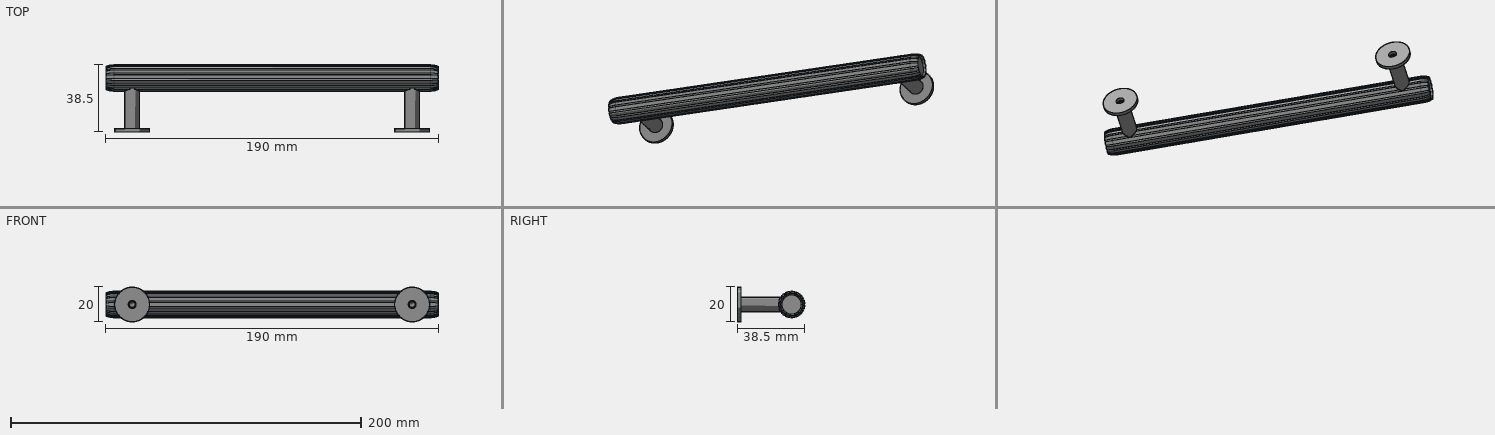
import cadquery as cq
import math

bar_length = 190.0
overall_depth = 38.5
post_spacing = 160.0

bar_diameter = 15.2
end_diameter = 13.1
crown_length = 4.5
dish_mouth_diameter = 12.7
dish_floor_diameter = 11.0
dish_depth = 1.3
flute_count = 15
flute_radius = 0.5
flute_run_out = 1.3

post_diameter = 8.5
seat_depth = 3.0
screw_hole_diameter = 3.2
screw_hole_mouth_diameter = 4.0
screw_hole_depth = 11.4
drill_point_angle = 118.0

rosette_diameter = 20.0
rosette_thickness = 2.0
rosette_hole_diameter = 4.5

half_length = bar_length / 2
bar_radius = bar_diameter / 2
end_radius = end_diameter / 2
shoulder = half_length - crown_length
dish_floor = half_length - dish_depth
crown_drop = bar_radius - end_radius
crown_radius = (crown_length**2 + crown_drop**2) / (2 * crown_drop)
crown_angle = math.asin(crown_length / crown_radius)
flute_pitch = 360.0 / flute_count
land_angle = 90.0
flute_half_angle = 2 * math.asin(flute_radius / bar_diameter)
bar_back = bar_radius * math.cos(flute_half_angle)
rosette_front = bar_back - overall_depth
post_start = rosette_front + rosette_thickness
post_end = seat_depth - bar_radius
post_length = post_end - post_start
post_places = (-post_spacing / 2, post_spacing / 2)


def along_y(x, y):
    """Workplane at (x, y, 0) whose normal points towards +Y."""
    return cq.Workplane(cq.Plane(origin=(x, y, 0), xDir=(1, 0, 0), normal=(0, 1, 0)))


def crown_point(angle):
    """Distance from mid-length and radius on the crowned end, at an arc angle from its shoulder."""
    return (
        shoulder + crown_radius * math.sin(angle),
        bar_radius - crown_radius * (1 - math.cos(angle)),
    )


def make_rod():
    """Plain rod along X with crowned ends, each hollowed by a shallow dish with a sloping wall."""
    middle_x, middle_r = crown_point(crown_angle / 2)
    return (
        cq.Workplane("XY")
        .moveTo(-dish_floor, 0)
        .lineTo(-dish_floor, dish_floor_diameter / 2)
        .lineTo(-half_length, dish_mouth_diameter / 2)
        .lineTo(-half_length, end_radius)
        .threePointArc((-middle_x, middle_r), (-shoulder, bar_radius))
        .lineTo(shoulder, bar_radius)
        .threePointArc((middle_x, middle_r), (half_length, end_radius))
        .lineTo(half_length, dish_mouth_diameter / 2)
        .lineTo(dish_floor, dish_floor_diameter / 2)
        .lineTo(dish_floor, 0)
        .close()
        .revolve(360, (0, 0, 0), (1, 0, 0))
    )


def flute_cutter():
    """Round cutter that follows the rod's top line and both crowns, running out past the ends."""
    run_out_angle = crown_angle * flute_run_out
    middle_x, middle_r = crown_point(run_out_angle / 2)
    tip_x, tip_r = crown_point(run_out_angle)
    path = (
        cq.Workplane("XZ")
        .moveTo(-tip_x, tip_r)
        .threePointArc((-middle_x, middle_r), (-shoulder, bar_radius))
        .lineTo(shoulder, bar_radius)
        .threePointArc((middle_x, middle_r), (tip_x, tip_r))
    )
    start_direction = (math.cos(run_out_angle), 0, math.sin(run_out_angle))
    start = cq.Plane(origin=(-tip_x, 0, tip_r), xDir=(0, 1, 0), normal=start_direction)
    return cq.Workplane(start).circle(flute_radius).sweep(path)


def make_bar():
    bar = make_rod()
    flute = flute_cutter()
    for i in range(flute_count):
        angle = land_angle + (i + 0.5) * flute_pitch
        bar = bar.cut(flute.rotate((0, 0, 0), (1, 0, 0), angle))
    for x in post_places:
        bar = bar.cut(along_y(x, post_start).circle(post_diameter / 2).extrude(post_length))
    return bar


def make_post(x):
    hole_radius = screw_hole_diameter / 2
    mouth_radius = screw_hole_mouth_diameter / 2
    point_length = hole_radius / math.tan(math.radians(drill_point_angle / 2))
    hole = (
        cq.Workplane("XY")
        .polyline([
            (0, 0),
            (mouth_radius, 0),
            (hole_radius, mouth_radius - hole_radius),
            (hole_radius, screw_hole_depth),
            (0, screw_hole_depth + point_length),
        ])
        .close()
        .revolve(360, (0, 0, 0), (0, 1, 0))
        .translate((x, post_start, 0))
    )
    post = along_y(x, post_start).circle(post_diameter / 2).extrude(post_length)
    return post.cut(hole)


def make_rosette(x):
    return (
        along_y(x, rosette_front)
        .circle(rosette_diameter / 2)
        .circle(rosette_hole_diameter / 2)
        .extrude(rosette_thickness)
    )


bar = make_bar()
posts = [make_post(x) for x in post_places]
rosettes = [make_rosette(x) for x in post_places]

result = cq.Compound.makeCompound([
    bar.val(),
    *[post.val() for post in posts],
    *[rosette.val() for rosette in rosettes],
])